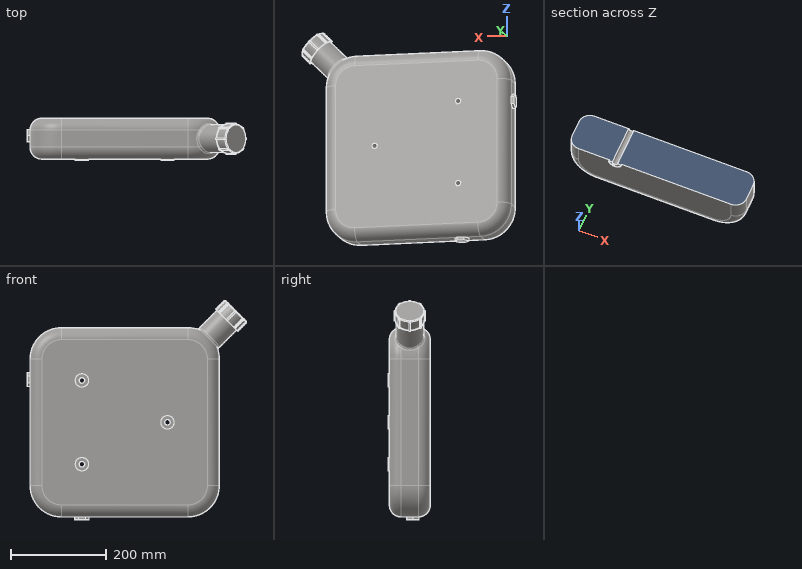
import cadquery as cq
import math

tank_side = 399.0
tank_depth = 87.0
corner_radius = 66.5
edge_radius = 25.5

pad_diameter = 28.0
pad_height = 2.5
hole_diameter = 11.0
pad_offset_x = 90.0
pad_offset_z = 88.0
pad_positions = [
    (-pad_offset_x, pad_offset_z),
    (-pad_offset_x, -pad_offset_z),
    (pad_offset_x, 0),
]

plug_across_flats = 26.5
plug_height = 6.0
plug_offset = 90.0
plug_y = 6.5

neck_angle = 45
neck_diameter = 59.0
neck_fillet = 4.5
cap_start = 304.0
cap_end = 331.5
cap_diameter = 62.0
cap_chamfer = 2.0
rib_count = 8
rib_width = 3.5
rib_tip_radius = 33.2
rib_chamfer = 2.5

half_side = tank_side / 2
half_depth = tank_depth / 2


def make_tank():
    block = cq.Workplane("XY").box(tank_side, tank_depth, tank_side)
    return block.edges("|Y").fillet(corner_radius).faces("<Y or >Y").edges().fillet(edge_radius)


def along_neck(shape):
    """Turn a shape built along +Z so that it points along the neck, up and to the right."""
    return shape.rotate((0, 0, 0), (0, 1, 0), neck_angle)


def add_neck(tank):
    neck = along_neck(cq.Workplane("XY").circle(neck_diameter / 2).extrude(cap_start))
    joined = tank.union(neck)
    return joined.edges("%BSPLINE").fillet(neck_fillet)


def make_cap():
    cap_length = cap_end - cap_start
    base = cq.Workplane("XY").workplane(offset=cap_start)
    cap = (
        base.circle(cap_diameter / 2)
        .extrude(cap_length)
        .faces(">Z")
        .edges()
        .chamfer(cap_chamfer)
    )
    rib = (
        base.center(rib_tip_radius / 2, 0)
        .rect(rib_tip_radius, rib_width)
        .extrude(cap_length)
        .edges(">X and >Z")
        .chamfer(rib_chamfer)
    )
    for index in range(rib_count):
        cap = cap.union(rib.rotate((0, 0, 0), (0, 0, 1), index * 360 / rib_count))
    return along_neck(cap)


def make_plug():
    """Hexagonal plug on the bottom side, two corners along X, sunk into the tank by its own height."""
    across_corners = 2 * plug_across_flats / math.sqrt(3)
    return (
        cq.Workplane("XY")
        .workplane(offset=-half_side - plug_height)
        .center(-plug_offset, plug_y)
        .polygon(6, across_corners)
        .extrude(2 * plug_height)
    )


def make_pads():
    face = cq.Workplane("XZ", origin=(0, -half_depth, 0)).pushPoints(pad_positions)
    return face.circle(pad_diameter / 2).extrude(pad_height)


def make_pad_holes():
    """Cutters running from the back face of the tank out through the pads."""
    face = cq.Workplane("XZ", origin=(0, half_depth, 0)).pushPoints(pad_positions)
    return face.circle(hole_diameter / 2).extrude(tank_depth + pad_height)


bottom_plug = make_plug()
left_plug = bottom_plug.rotate((0, 0, 0), (0, 1, 0), 90)

result = (
    add_neck(make_tank())
    .union(make_cap())
    .union(bottom_plug)
    .union(left_plug)
    .union(make_pads())
    .cut(make_pad_holes())
)